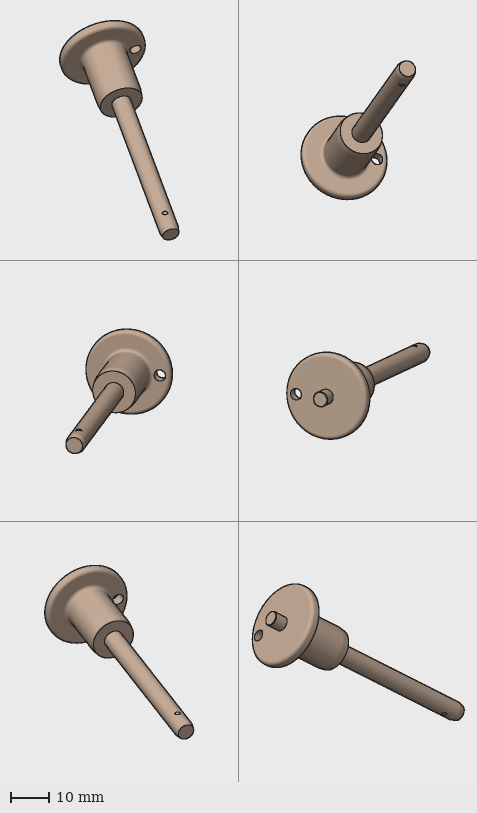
import cadquery as cq
import math

length = 69.0
button_length = 4.0
flange_thickness = 3.0
sleeve_taper_start = 21.0
sleeve_end = 23.0
tip_length = 1.6
ball_station = 63.7

flange_diameter = 23.0
shank_diameter = 5.2
button_radius = 2.0
flange_radius = flange_diameter / 2
sleeve_radius = 6.0
sleeve_end_radius = 5.7
shank_radius = shank_diameter / 2
tip_radius = 2.2

flange_round = 1.0
sleeve_blend = 1.0
button_chamfer = 0.15

lanyard_hole_radius = 1.5
lanyard_hole_offset = 8.55

ball_cap_radius = 0.585
ball_protrusion = 0.24
ball_radius = (ball_cap_radius**2 + ball_protrusion**2) / (2 * ball_protrusion)
ball_height = shank_radius + ball_protrusion - ball_radius

start = -length / 2
flange_front = start + button_length
flange_back = flange_front + flange_thickness


def make_profile():
    """Half section of the button, flange, sleeve, shank and tapered tip."""
    arc_gap = 1 - math.sqrt(0.5)
    round_gap = flange_round * arc_gap
    blend_gap = sleeve_blend * arc_gap
    return (
        cq.Workplane("XY")
        .moveTo(start, 0)
        .lineTo(start, button_radius - button_chamfer)
        .lineTo(start + button_chamfer, button_radius)
        .lineTo(flange_front, button_radius)
        .lineTo(flange_front, flange_radius - flange_round)
        .threePointArc(
            (flange_front + round_gap, flange_radius - round_gap),
            (flange_front + flange_round, flange_radius),
        )
        .lineTo(flange_back - flange_round, flange_radius)
        .threePointArc(
            (flange_back - round_gap, flange_radius - round_gap),
            (flange_back, flange_radius - flange_round),
        )
        .lineTo(flange_back, sleeve_radius + sleeve_blend)
        .threePointArc(
            (flange_back + blend_gap, sleeve_radius + blend_gap),
            (flange_back + sleeve_blend, sleeve_radius),
        )
        .lineTo(start + sleeve_taper_start, sleeve_radius)
        .lineTo(start + sleeve_end, sleeve_end_radius)
        .lineTo(start + sleeve_end, shank_radius)
        .lineTo(start + length - tip_length, shank_radius)
        .lineTo(start + length, tip_radius)
        .lineTo(start + length, 0)
        .close()
    )


def make_lanyard_hole():
    """Cutter for the hole through the flange, parallel to the pin axis."""
    return (
        cq.Workplane("YZ", origin=(flange_front, lanyard_hole_offset, 0))
        .circle(lanyard_hole_radius)
        .extrude(flange_thickness)
    )


def make_ball(side):
    """Locking ball on the +Z (side = 1) or -Z (side = -1) flank of the shank."""
    return cq.Workplane("XY").sphere(ball_radius).translate((start + ball_station, 0, side * ball_height))


balls = [make_ball(side) for side in (1, -1)]

pin_body = make_profile().revolve(360, (0, 0, 0), (1, 0, 0)).cut(make_lanyard_hole())
for ball in balls:
    pin_body = pin_body.cut(ball)

result = cq.Compound.makeCompound([pin_body.val(), *[ball.val() for ball in balls]])